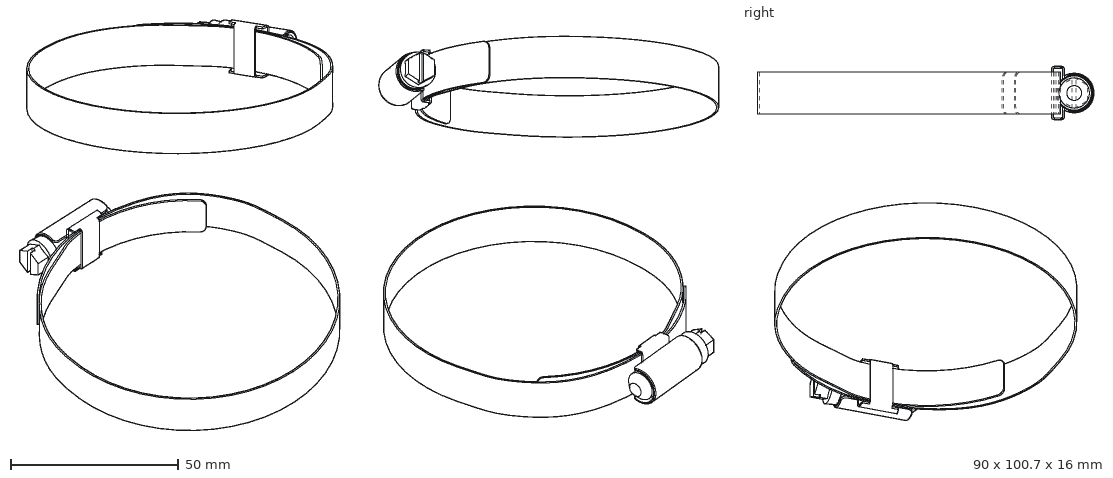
import cadquery as cq
import math


band_thickness = 0.6
band_height = 12.6
band_radius = 45.0
mid_radius = band_radius - band_thickness / 2
outer_layer_radius = 45.3
inner_layer_radius = 44.1
outer_end_angle = 135.0
tail_end_angle = 40.0
band_corner_radius = 2.1

outer_to_round = [(85, outer_layer_radius), (66, 46.1), (46, 46.9), (28, 46.2), (8, mid_radius)]
round_to_inner = [
    (180, mid_radius),
    (154, 45.1),
    (136, 44.6),
    (122, 43.8),
    (108, 43.4),
    (94, inner_layer_radius),
]

total_length_y = 100.7
cap_radius = 5.9
sheet = 0.6
cap_bore_radius = cap_radius - sheet
cap_length = 22.8
cap_corner_radius = 1.7
cap_edge_chamfer = 0.3
screw_y = total_length_y - band_radius - cap_radius

clip_top_y = 46.8
clip_bottom_y = 42.9
clip_width_z = 16.0
clip_bend_radius = 0.9
clip_inner_bend_radius = clip_bend_radius - sheet
clip_top_length = 12.5
clip_side_length = 11.3
clip_leg_length = 7.1
clip_corner_chamfer = 0.4
clip_step_y = 43.9

hex_across_flats = 8.1
hex_start_x = -19.0
slot_width = 1.2
slot_depth = 1.9
collar_start_x = -15.0
collar_chamfer_length = 0.4
collar_radius = 5.4
collar_back_radius = 5.1
shank_radius = 4.5
shank_end_x = 11.1
tip_radius = 2.2
tip_end_x = 13.5


def polar(angle, radius):
    """Point in the XY plane at an angle in degrees."""
    return cq.Vector(radius * math.cos(math.radians(angle)), radius * math.sin(math.radians(angle)))


def clockwise(angle):
    """Unit tangent of clockwise travel at an angle."""
    return polar(angle - 90, 1)


def arc(radius, start, end):
    """Arc about the origin between two angles."""
    middle = (start + end) / 2
    return cq.Edge.makeThreePointArc(polar(start, radius), polar(middle, radius), polar(end, radius))


def blend(points, offset):
    """Smooth curve through polar points, tangent to a circle at both ends."""
    ends = [clockwise(points[0][0]), clockwise(points[-1][0])]
    return cq.Edge.makeSpline([polar(a, r + offset) for a, r in points], tangents=ends)


def band_side(offset):
    """Edges of one face of the band, clockwise from its outer end to its tail."""
    return [
        arc(outer_layer_radius + offset, outer_end_angle, outer_to_round[0][0]),
        blend(outer_to_round, offset),
        arc(mid_radius + offset, outer_to_round[-1][0], round_to_inner[0][0] - 360),
        blend(round_to_inner, offset),
        arc(inner_layer_radius + offset, round_to_inner[-1][0], tail_end_angle),
    ]


def screw_shape():
    """Solid of revolution about the screw axis: collar, shank and pointed tip."""
    collar_end_x = -cap_length / 2
    profile = (
        cq.Workplane("XY")
        .moveTo(collar_start_x, 0)
        .lineTo(collar_start_x, hex_across_flats / 2)
        .lineTo(collar_start_x + collar_chamfer_length, collar_radius)
        .lineTo(collar_end_x, collar_back_radius)
        .lineTo(collar_end_x, shank_radius)
        .lineTo(shank_end_x, shank_radius)
        .lineTo(tip_end_x, tip_radius)
        .lineTo(tip_end_x, 0)
        .close()
    )
    return profile.revolve(360, (0, 0, 0), (1, 0, 0)).translate((0, screw_y, 0))


def make_screw():
    hex_diameter = hex_across_flats / math.cos(math.radians(30))
    hex_length = collar_start_x + collar_chamfer_length - hex_start_x
    head = (
        cq.Workplane("YZ", origin=(hex_start_x, screw_y, 0))
        .transformed(rotate=(0, 0, 90))
        .polygon(6, hex_diameter)
        .extrude(hex_length)
    )
    slot = cq.Workplane("XY").box(2 * slot_depth, slot_width, 2 * hex_diameter)
    return screw_shape().union(head).cut(slot.translate((hex_start_x, screw_y, 0)))


def make_band():
    outer_side = band_side(band_thickness / 2)
    inner_side = band_side(-band_thickness / 2)
    ends = [
        cq.Edge.makeLine(outer_side[0].startPoint(), inner_side[0].startPoint()),
        cq.Edge.makeLine(outer_side[-1].endPoint(), inner_side[-1].endPoint()),
    ]
    outline = cq.Wire.assembleEdges(outer_side + [ends[1]] + inner_side[::-1] + [ends[0]])
    band = cq.Workplane(cq.Solid.extrudeLinear(outline, [], cq.Vector(0, 0, band_height)))
    band = band.translate((0, 0, -band_height / 2))

    corners = []
    for end in ends:
        middle = end.Center()
        for z in (-band_height / 2, band_height / 2):
            target = cq.Vector(middle.x, middle.y, z)
            corners.append(min(band.edges().vals(), key=lambda e: (e.Center() - target).Length))
    band = band.newObject(corners).fillet(band_corner_radius)

    return band.cut(screw_shape())


def make_cap():
    """Rounded sheet cover over the screw, open towards the band."""
    tube = (
        cq.Workplane("YZ", origin=(-cap_length / 2, screw_y, 0))
        .circle(cap_radius)
        .extrude(cap_length)
        .faces("<X or >X")
        .chamfer(cap_edge_chamfer)
    )
    cap_height = screw_y + cap_radius - clip_top_y
    envelope = (
        cq.Workplane("XY", origin=(0, clip_top_y + cap_height / 2, 0))
        .rect(cap_length, cap_height)
        .extrude(cap_radius, both=True)
        .edges("|Z and <Y")
        .fillet(cap_corner_radius)
    )
    return tube.intersect(envelope)


def make_clip():
    """Rectangular sheet loop whose sides narrow to a short leg under the band."""
    height = clip_top_y - clip_bottom_y
    middle_y = (clip_top_y + clip_bottom_y) / 2
    section = cq.Workplane("YZ", origin=(0, middle_y, 0))
    outside = section.rect(height, clip_width_z).extrude(clip_top_length / 2, both=True)
    outside = outside.edges("|X").fillet(clip_bend_radius)
    inside = section.rect(height - 2 * sheet, clip_width_z - 2 * sheet)
    inside = inside.extrude(clip_top_length / 2, both=True)
    inside = inside.edges("|X").fillet(clip_inner_bend_radius)
    outline = (
        cq.Workplane("XY")
        .moveTo(clip_top_length / 2, clip_top_y)
        .lineTo(clip_side_length / 2, clip_step_y)
        .lineTo(clip_leg_length / 2, clip_step_y)
        .lineTo(clip_leg_length / 2, clip_bottom_y)
        .lineTo(0, clip_bottom_y)
        .lineTo(0, clip_top_y)
        .close()
        .extrude(clip_width_z / 2, both=True)
    )
    outline = outline.union(outline.mirror("YZ"))
    plan = (
        cq.Workplane("XY", origin=(0, middle_y, 0))
        .box(clip_top_length, height, clip_width_z)
        .edges("|Y")
        .chamfer(clip_corner_chamfer)
    )
    return outside.cut(inside).intersect(outline).intersect(plan)


def make_housing():
    bore = (
        cq.Workplane("YZ", origin=(-cap_length / 2, screw_y, 0))
        .circle(cap_bore_radius)
        .extrude(cap_length)
    )
    return make_cap().union(make_clip()).cut(bore)


band = make_band()
housing = make_housing()
screw = make_screw()

result = cq.Compound.makeCompound([band.val(), housing.val(), screw.val()])